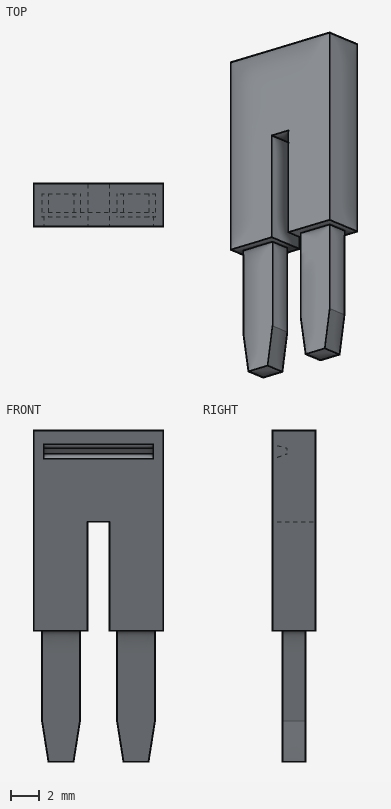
import cadquery as cq

BODY_WIDTH = 9.0
BODY_DEPTH = 3.0
TOTAL_HEIGHT = 22.98
BODY_HEIGHT = 13.9
BODY_BOTTOM = TOTAL_HEIGHT - BODY_HEIGHT

SLOT_WIDTH = 1.5
SLOT_HEIGHT = 7.55

PIN_PITCH = 5.2
PIN_WIDTH = 2.65
PIN_DEPTH = 1.6
PIN_TIP_WIDTH = 1.75
PIN_TAPER_HEIGHT = 2.85

GROOVE_LENGTH = 7.6
GROOVE_HEIGHT = 1.02
GROOVE_TOP_MARGIN = 0.96
GROOVE_DEPTH = 1.0
GROOVE_UPPER_FLANK_DROP = 0.27
GROOVE_LOWER_FLANK_RISE = 0.37


def body():
    block = cq.Workplane("XY").box(BODY_WIDTH, BODY_DEPTH, BODY_HEIGHT, centered=(True, True, False))
    slot = cq.Workplane("XY").box(SLOT_WIDTH, BODY_DEPTH, SLOT_HEIGHT, centered=(True, True, False))
    return block.cut(slot).translate((0, 0, BODY_BOTTOM))


def pin(center_x):
    half_width = PIN_WIDTH / 2
    half_tip = PIN_TIP_WIDTH / 2
    outline = [
        (-half_tip, 0),
        (half_tip, 0),
        (half_width, PIN_TAPER_HEIGHT),
        (half_width, BODY_BOTTOM),
        (-half_width, BODY_BOTTOM),
        (-half_width, PIN_TAPER_HEIGHT),
    ]
    blade = cq.Workplane("XZ").polyline(outline).close().extrude(PIN_DEPTH / 2, both=True)
    return blade.translate((center_x, 0, 0))


def finger_groove():
    face_y = -BODY_DEPTH / 2
    floor_y = face_y + GROOVE_DEPTH
    top_z = TOTAL_HEIGHT - GROOVE_TOP_MARGIN
    bottom_z = top_z - GROOVE_HEIGHT
    profile = [
        (face_y, bottom_z),
        (floor_y, bottom_z + GROOVE_LOWER_FLANK_RISE),
        (floor_y, top_z - GROOVE_UPPER_FLANK_DROP),
        (face_y, top_z),
    ]
    return cq.Workplane("YZ").polyline(profile).close().extrude(GROOVE_LENGTH / 2, both=True)


result = body().cut(finger_groove())
for side in (-1, 1):
    result = result.union(pin(side * PIN_PITCH / 2))